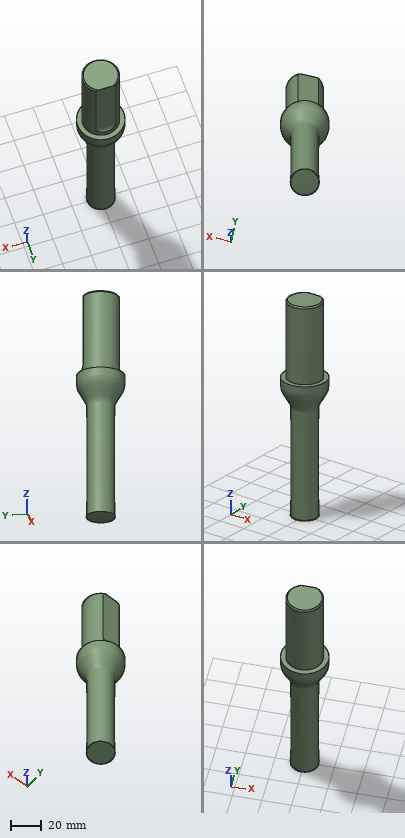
import cadquery as cq
import math

total_length = 157.0
shoulder_top = 101.0
shoulder_bottom = 95.3
neck_bottom = 74.0
taper_bottom = 47.4
guide_cone_top = 13.8
guide_cone_bottom = 11.0
tip_height = 1.1

shank_diameter = 25.0
shoulder_diameter = 32.0
neck_diameter = 18.5
relief_diameter = 18.4
tip_diameter = 19.2

flare_angle = math.radians(30)
shoulder_round_radius = 11.0
flare_cone_length = 7.8
neck_round_radius = 5.7

shank_chamfer_height = 1.1
shank_chamfer_width = 1.0
flat_distance = 10.4
flat_bottom = 107.7
flat_runout_radius = 3.3
tip_corner_radius = 0.8


def make_turned_holder():
    shank_radius = shank_diameter / 2
    shoulder_radius = shoulder_diameter / 2
    neck_radius = neck_diameter / 2
    relief_radius = relief_diameter / 2

    inset_factor = 1 - math.cos(flare_angle)
    drop_factor = math.sin(flare_angle)
    cone_top = shoulder_bottom - shoulder_round_radius * drop_factor
    cone_bottom = cone_top - flare_cone_length
    neck_top = cone_bottom - neck_round_radius * drop_factor
    flare_points = [
        (shoulder_radius, shoulder_bottom),
        (shoulder_radius - shoulder_round_radius * inset_factor, cone_top),
        (neck_radius + neck_round_radius * inset_factor, cone_bottom),
        (neck_radius, neck_top),
    ]
    cone_direction = (-math.sin(flare_angle), -math.cos(flare_angle))
    straight_down = (0, -1)
    flare_tangents = [straight_down, cone_direction, cone_direction, straight_down]

    return (
        cq.Workplane("XZ")
        .moveTo(0, total_length)
        .lineTo(shank_radius - shank_chamfer_width, total_length)
        .lineTo(shank_radius, total_length - shank_chamfer_height)
        .lineTo(shank_radius, shoulder_top)
        .lineTo(shoulder_radius, shoulder_top)
        .lineTo(*flare_points[0])
        .spline(flare_points[1:], tangents=flare_tangents, includeCurrent=True)
        .lineTo(neck_radius, neck_bottom)
        .lineTo(relief_radius, taper_bottom)
        .lineTo(relief_radius, guide_cone_top)
        .lineTo(neck_radius, guide_cone_bottom)
        .lineTo(neck_radius, tip_height)
        .lineTo(0, tip_height)
        .close()
        .revolve(360, (0, 0, 0), (0, 1, 0))
    )


def make_flat_cutter():
    """Material removed for the clamping flat on +Y, with a rounded run-out."""
    shank_radius = shank_diameter / 2
    flat_depth = shank_radius - flat_distance
    runout_angle = math.acos(1 - flat_depth / flat_runout_radius)
    runout_mid = (
        flat_distance + flat_runout_radius * (1 - math.cos(runout_angle / 2)),
        flat_bottom - flat_runout_radius * math.sin(runout_angle / 2),
    )
    runout_bottom = flat_bottom - flat_runout_radius * math.sin(runout_angle)
    return (
        cq.Workplane("YZ")
        .moveTo(flat_distance, total_length)
        .lineTo(flat_distance, flat_bottom)
        .threePointArc(runout_mid, (shank_radius, runout_bottom))
        .lineTo(shank_radius, total_length)
        .close()
        .extrude(shank_radius, both=True)
    )


def make_holder():
    return make_turned_holder().cut(make_flat_cutter())


def make_cutting_tip():
    """Thin disc wider than the neck, with a rounded corner and a shallow conical end."""
    tip_radius = tip_diameter / 2
    corner_inset = tip_corner_radius * (1 - math.sqrt(0.5))
    corner_drop = tip_corner_radius * math.sqrt(0.5)
    corner_mid = (tip_radius - corner_inset, tip_height - corner_drop)
    corner_end = (tip_radius - tip_corner_radius, tip_height - tip_corner_radius)
    return (
        cq.Workplane("XZ")
        .moveTo(0, tip_height)
        .lineTo(tip_radius, tip_height)
        .threePointArc(corner_mid, corner_end)
        .lineTo(0, 0)
        .close()
        .revolve(360, (0, 0, 0), (0, 1, 0))
    )


holder = make_holder()
cutting_tip = make_cutting_tip()

result = cq.Compound.makeCompound([holder.val(), cutting_tip.val()])